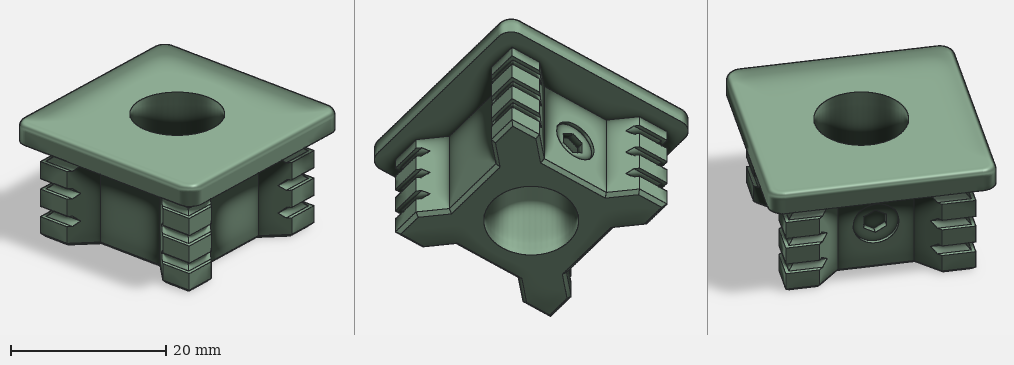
import cadquery as cq
import math

cap_side = 30.0
cap_thickness = 3.0
cap_corner_radius = 2.0
cap_edge_radius = 1.0

plug_height = 14.0
plug_side = 25.0
recess_floor_width = 10.0
recess_depth = 3.05
plug_chamfer = 0.5

side_angles = (0, 90, 180, 270)

bore_diameter = 12.2

groove_count = 3
groove_pitch = 4.0
groove_width = 1.5
groove_wall_depth = 0.5
lowest_groove_z = 2.9

screw_diameter = 6.0
screw_axis_z = 7.0
screw_sink = 0.5
socket_across_flats = 3.0
socket_depth = 1.0
socket_sides = 6

plug_half = plug_side / 2
recess_floor = plug_half - recess_depth
bore_radius = bore_diameter / 2
screw_outer_x = -recess_floor + screw_sink
screw_length = -bore_radius - screw_outer_x


def make_cap():
    """Square plate with rounded corners and a rounded top edge."""
    underside = cq.Workplane("XY").workplane(offset=plug_height)
    plate = underside.rect(cap_side, cap_side).extrude(cap_thickness)
    plate = plate.edges("|Z").fillet(cap_corner_radius)
    return plate.faces(">Z").edges().fillet(cap_edge_radius)


def make_recess(angle):
    """Full-height recess with 45 degree flanks in one side of the plug."""
    floor_half = recess_floor_width / 2
    mouth_half = floor_half + recess_depth
    recess = (
        cq.Workplane("XY")
        .moveTo(-mouth_half, -plug_half)
        .lineTo(mouth_half, -plug_half)
        .lineTo(floor_half, -recess_floor)
        .lineTo(-floor_half, -recess_floor)
        .close()
        .extrude(plug_height)
    )
    return recess.rotate((0, 0, 0), (0, 0, 1), angle)


def make_groove(bottom_z, angle):
    """One straight groove running the whole length of one side of the plug."""
    wall_end = -plug_half + groove_wall_depth
    half_width = groove_width / 2
    groove = (
        cq.Workplane("YZ")
        .workplane(offset=-plug_half)
        .moveTo(-plug_half, bottom_z)
        .lineTo(wall_end, bottom_z)
        .lineTo(wall_end + half_width, bottom_z + half_width)
        .lineTo(wall_end, bottom_z + groove_width)
        .lineTo(-plug_half, bottom_z + groove_width)
        .close()
        .extrude(plug_side)
    )
    return groove.rotate((0, 0, 0), (0, 0, 1), angle)


def make_plug():
    """Square plug with four side recesses, a chamfered foot and grooved corners."""
    plug = cq.Workplane("XY").rect(plug_side, plug_side).extrude(plug_height)
    for angle in side_angles:
        plug = plug.cut(make_recess(angle))
    plug = plug.faces("<Z").edges().chamfer(plug_chamfer)
    for level in range(groove_count):
        bottom_z = lowest_groove_z + level * groove_pitch
        for angle in side_angles:
            plug = plug.cut(make_groove(bottom_z, angle))
    return plug


def screw_plane(x):
    """Workplane across the screw axis, with its normal along +X."""
    return cq.Workplane("YZ", origin=(x, 0, screw_axis_z))


def make_housing():
    """Cap and plug in one piece, with the bore and the hole for the set screw."""
    bore = cq.Workplane("XY").circle(bore_radius).extrude(plug_height + cap_thickness)
    screw_hole = screw_plane(-recess_floor).circle(screw_diameter / 2).extrude(recess_floor)
    return make_cap().union(make_plug()).cut(bore).cut(screw_hole)


def make_set_screw():
    """Headless screw sunk below the recess floor, its inner end level with the bore wall."""
    socket_across_corners = socket_across_flats / math.cos(math.pi / socket_sides)
    body = screw_plane(screw_outer_x).circle(screw_diameter / 2).extrude(screw_length)
    socket = screw_plane(screw_outer_x).polygon(socket_sides, socket_across_corners).extrude(socket_depth)
    upright_socket = socket.rotate((0, 0, screw_axis_z), (1, 0, screw_axis_z), 90)
    return body.cut(upright_socket)


housing = make_housing()
set_screw = make_set_screw()

result = cq.Compound.makeCompound([housing.val(), set_screw.val()])